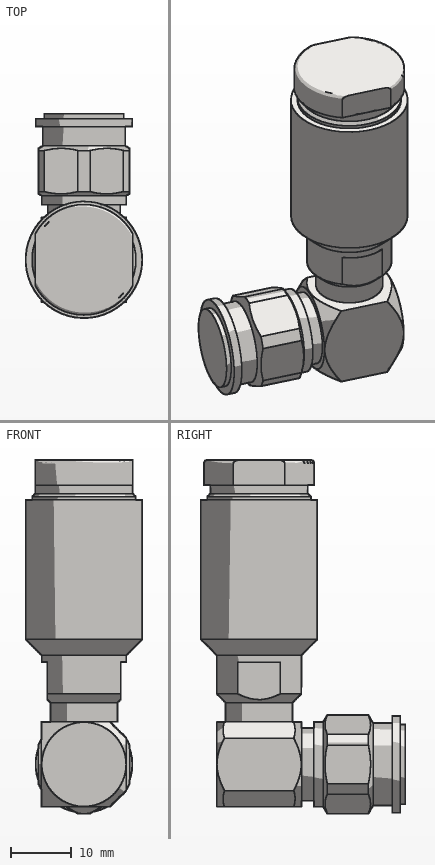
import cadquery as cq
import math


BLOCK_HALF = 7.0
FACE_RADIUS = 6.9
EDGE_CHAMFER = 2.7

NECK_RADIUS = 5.5
NECK_TOP = 10.1
COLLAR_RADIUS = 7.0
COLLAR_TOP = 17.9
COLLAR_FLAT = 6.05
COLLAR_FLAT_TOP = 16.8
BARREL_RADIUS = 9.6
BARREL_TOP = 43.45
LIP_RADIUS = 8.55
LIP_HEIGHT = 0.5
GROOVE_RADIUS = 8.0

CAP_RADIUS = 9.05
CAP_BOTTOM = 45.9
CAP_TOP = 50.0
CAP_FLAT = 8.0
CAP_FILLET = 0.6

STEM_RADIUS = 6.0
STEM_END = 9.0
COLLET_RADIUS = 7.0
NUT_START = 10.5
NUT_END = 18.7
NUT_APOTHEM = 7.5
NUT_CORNER_RADIUS = 8.15
NUT_CHAMFER_ANGLE = 30
SLEEVE_RADIUS = 6.8
FLANGE_START = 21.85
FLANGE_END = 23.2
FLANGE_RADIUS = 7.95
TIP_RADIUS = 6.55
TIP_END = 24.0


def revolved_z(profile):
    """Solid of revolution about Z from (radius, height) points, closed along the axis."""
    points = [(0, profile[0][1])] + profile + [(0, profile[-1][1])]
    return cq.Workplane("XZ").polyline(points).close().revolve(360, (0, 0), (0, 1))


def revolved_y(profile):
    """Solid of revolution about Y from (radius, distance) points, closed along the axis."""
    points = [(0, profile[0][1])] + profile + [(0, profile[-1][1])]
    return cq.Workplane("YX").polyline([(y, r) for r, y in points]).close().revolve(360, (0, 0), (1, 0))


def slab(half_width, bottom, top):
    """Plate between two flats at x = +/- half_width, as wide as the barrel along Y."""
    box = cq.Workplane("XY").box(2 * half_width, 2 * BARREL_RADIUS, top - bottom, centered=(True, True, False))
    return box.translate((0, 0, bottom))


def make_block():
    side = 2 * BLOCK_HALF
    block = cq.Workplane("XY").box(side, side, side)
    block = block.edges(">X and |Y").chamfer(EDGE_CHAMFER)
    turned = revolved_y([
        (FACE_RADIUS, -BLOCK_HALF),
        (FACE_RADIUS + BLOCK_HALF, 0),
        (FACE_RADIUS, BLOCK_HALF),
    ])
    return block.intersect(turned)


def make_collar():
    collar = revolved_z([
        (NECK_RADIUS, NECK_TOP),
        (COLLAR_RADIUS, NECK_TOP + COLLAR_RADIUS - NECK_RADIUS),
        (COLLAR_RADIUS, COLLAR_FLAT_TOP),
    ])
    return collar.intersect(slab(COLLAR_FLAT, NECK_TOP, COLLAR_FLAT_TOP))


def make_barrel():
    neck = revolved_z([(NECK_RADIUS, BLOCK_HALF), (NECK_RADIUS, NECK_TOP)])
    lip_top = BARREL_TOP + LIP_HEIGHT
    body = revolved_z([
        (COLLAR_RADIUS, COLLAR_FLAT_TOP),
        (COLLAR_RADIUS, COLLAR_TOP),
        (BARREL_RADIUS, COLLAR_TOP + BARREL_RADIUS - COLLAR_RADIUS),
        (BARREL_RADIUS, BARREL_TOP),
        (LIP_RADIUS, BARREL_TOP),
        (LIP_RADIUS, lip_top),
        (GROOVE_RADIUS, lip_top + LIP_RADIUS - GROOVE_RADIUS),
        (GROOVE_RADIUS, CAP_BOTTOM),
    ])
    return neck.union(make_collar()).union(body)


def make_cap():
    cap = revolved_z([(CAP_RADIUS, CAP_BOTTOM), (CAP_RADIUS, CAP_TOP)])
    cap = cap.faces(">Z").edges().fillet(CAP_FILLET)
    return cap.intersect(slab(CAP_FLAT, CAP_BOTTOM, CAP_TOP))


def make_nut():
    corner_diameter = 2 * NUT_APOTHEM / math.cos(math.pi / 6)
    hexagon = (
        cq.Workplane("XZ", origin=(0, NUT_START, 0))
        .transformed(rotate=(0, 0, 90))
        .polygon(6, corner_diameter)
        .extrude(NUT_START - NUT_END)
    )
    slope = math.tan(math.radians(NUT_CHAMFER_ANGLE))
    turned = revolved_y([
        (COLLET_RADIUS, NUT_START),
        (NUT_CORNER_RADIUS, NUT_START + (NUT_CORNER_RADIUS - COLLET_RADIUS) * slope),
        (NUT_CORNER_RADIUS, NUT_END - (NUT_CORNER_RADIUS - SLEEVE_RADIUS) * slope),
        (SLEEVE_RADIUS, NUT_END),
    ])
    return hexagon.intersect(turned)


def make_coupling():
    front = revolved_y([
        (STEM_RADIUS, 0),
        (STEM_RADIUS, STEM_END),
        (COLLET_RADIUS, STEM_END),
        (COLLET_RADIUS, NUT_START),
    ])
    rear = revolved_y([
        (SLEEVE_RADIUS, NUT_END),
        (SLEEVE_RADIUS, FLANGE_START),
        (FLANGE_RADIUS, FLANGE_START),
        (FLANGE_RADIUS, FLANGE_END),
        (TIP_RADIUS, FLANGE_END),
        (TIP_RADIUS, TIP_END),
    ])
    return front.union(make_nut()).union(rear)


result = make_block().union(make_barrel()).union(make_cap()).union(make_coupling())